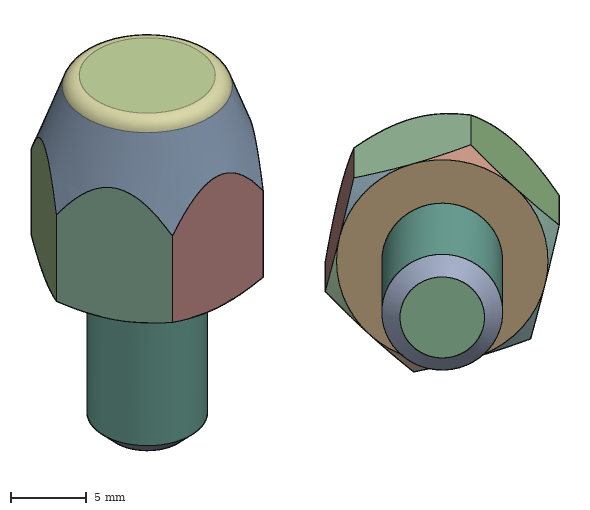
import cadquery as cq
import math

total_length = 28.0
across_flats = 14.0
head_height = 15.0
shank_diameter = 8.0
tip_chamfer = 1.2
top_flat_diameter = 9.02
top_edge_radius = 1.2
taper_angle = math.radians(20)
base_chamfer_angle = math.radians(30)

shank_length = total_length - head_height
flat_radius = across_flats / 2
corner_radius = flat_radius / math.cos(math.pi / 6)
outer_radius = corner_radius + 0.28
top_flat_radius = top_flat_diameter / 2


def hexagon_prism():
    """Hexagonal head with corners on the Y axis."""
    return (
        cq.Workplane("XY")
        .workplane(offset=shank_length)
        .polygon(6, 2 * corner_radius)
        .extrude(head_height)
        .rotate((0, 0, 0), (0, 0, 1), 90)
    )


def turned_envelope():
    """Revolved limit of the head: base chamfer, cone and rounded top edge."""
    base_chamfer_top = shank_length + (outer_radius - flat_radius) * math.tan(base_chamfer_angle)
    arc_center_z = total_length - top_edge_radius

    def arc_point(angle):
        return (
            top_flat_radius + top_edge_radius * math.cos(angle),
            arc_center_z + top_edge_radius * math.sin(angle),
        )

    arc_end = arc_point(taper_angle)
    arc_middle = arc_point((taper_angle + math.pi / 2) / 2)
    cone_bottom = arc_end[1] - (outer_radius - arc_end[0]) / math.tan(taper_angle)
    return (
        cq.Workplane("XZ")
        .moveTo(0, shank_length)
        .lineTo(flat_radius, shank_length)
        .lineTo(outer_radius, base_chamfer_top)
        .lineTo(outer_radius, cone_bottom)
        .lineTo(*arc_end)
        .threePointArc(arc_middle, (top_flat_radius, total_length))
        .lineTo(0, total_length)
        .close()
        .revolve(360, (0, 0, 0), (0, 1, 0))
    )


def shank():
    """Plain cylindrical shank with a chamfered tip at Z = 0."""
    return (
        cq.Workplane("XY")
        .circle(shank_diameter / 2)
        .extrude(shank_length)
        .faces("<Z")
        .chamfer(tip_chamfer)
    )


head = hexagon_prism().intersect(turned_envelope())
result = head.union(shank())